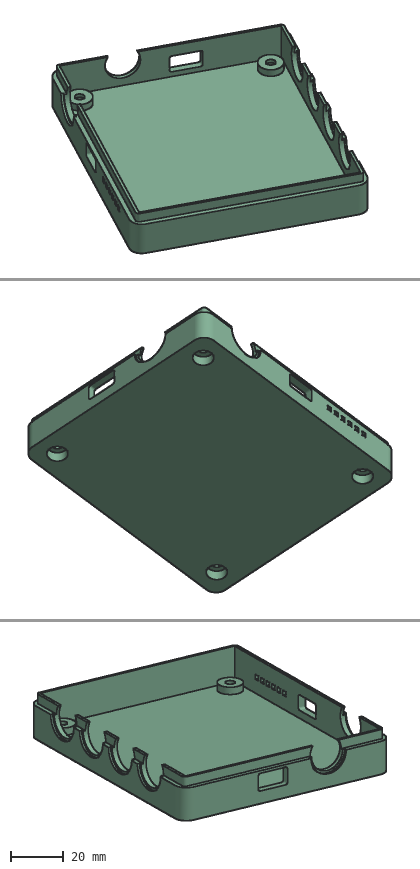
import cadquery as cq

length = 106.4
width = 94.4
height = 17.3
body_height = 13.5
corner_radius = 5.0
floor_thickness = 3.0

lip_inset = 2.0
lip_corner_radius = 1.5
end_wall = 3.0
side_wall = 3.3

boss_diameter = 10.0
boss_height = 3.0
screw_hole_diameter = 3.7
screw_head_diameter = 8.0
screw_seat_thickness = 1.5
boss_spacing_x = 88.0
boss_spacing_y = 75.8

notch_diameter = 14.0
recess_diameter = 16.0
recess_depth = 1.0
notch_z = body_height
notch_pitch = 20.0
back_notch_count = 4
left_notch_y = -18.8

window_corner_radius = 1.0
front_window_length = 12.2
front_window_height = 6.3
front_window_z = 9.4
left_window_length = 13.2
left_window_height = 7.2
left_window_y = 6.3
left_window_z = 8.8

light_count = 6
light_size = 1.9
light_pitch = 3.8
first_light_x = 15.7
light_z = 9.6

clearance = 1.1

front_face = cq.Plane(origin=(0, -width / 2, 0), xDir=(1, 0, 0), normal=(0, 1, 0))
back_face = cq.Plane(origin=(0, width / 2, 0), xDir=(1, 0, 0), normal=(0, -1, 0))
left_face = cq.Plane(origin=(-length / 2, 0, 0), xDir=(0, 1, 0), normal=(1, 0, 0))


def wall_point(distance, z, plane):
    """Sketch point at height z, whichever way the wall plane's own y axis points."""
    return (distance, z * plane.yDir.z)


def make_tray():
    body = cq.Workplane("XY").box(length, width, body_height, centered=(True, True, False))
    body = body.edges("|Z").fillet(corner_radius)
    lip = cq.Workplane("XY").box(
        length - 2 * lip_inset, width - 2 * lip_inset, height, centered=(True, True, False)
    )
    lip = lip.edges("|Z").fillet(lip_corner_radius)
    cavity = cq.Workplane("XY", origin=(0, 0, floor_thickness)).box(
        length - 2 * end_wall, width - 2 * side_wall, height, centered=(True, True, False)
    )
    return body.union(lip).cut(cavity)


def boss_cylinders(diameter, cylinder_height):
    """One upright cylinder from the underside at each boss position."""
    return (
        cq.Workplane("XY")
        .rarray(boss_spacing_x, boss_spacing_y, 2, 2)
        .circle(diameter / 2)
        .extrude(cylinder_height)
    )


def add_bosses(tray):
    boss_top = floor_thickness + boss_height
    bosses = boss_cylinders(boss_diameter, boss_top)
    screw_holes = boss_cylinders(screw_hole_diameter, boss_top)
    head_recesses = boss_cylinders(screw_head_diameter, boss_top - screw_seat_thickness)
    return tray.union(bosses).cut(screw_holes).cut(head_recesses)


def notch(plane, distance):
    center = wall_point(distance, notch_z, plane)
    hole = cq.Workplane(plane).moveTo(*center).circle(notch_diameter / 2).extrude(side_wall + clearance)
    recess = cq.Workplane(plane).moveTo(*center).circle(recess_diameter / 2).extrude(recess_depth)
    return hole.union(recess)


def opening(plane, distance, z, opening_length, opening_height):
    center = wall_point(distance, z, plane)
    return (
        cq.Workplane(plane)
        .moveTo(*center)
        .rect(opening_length, opening_height)
        .extrude(side_wall + clearance)
    )


def window(plane, distance, z, window_length, window_height):
    block = opening(plane, distance, z, window_length, window_height)
    return block.edges(cq.selectors.ParallelDirSelector(plane.zDir)).fillet(window_corner_radius)


result = add_bosses(make_tray())

first_notch_x = -notch_pitch * (back_notch_count - 1) / 2
for index in range(back_notch_count):
    result = result.cut(notch(back_face, first_notch_x + index * notch_pitch))
result = result.cut(notch(front_face, first_notch_x))
result = result.cut(notch(left_face, left_notch_y))

result = result.cut(window(front_face, 0, front_window_z, front_window_length, front_window_height))
result = result.cut(
    window(left_face, left_window_y, left_window_z, left_window_length, left_window_height)
)

for index in range(light_count):
    light_x = first_light_x + index * light_pitch
    result = result.cut(opening(front_face, light_x, light_z, light_size, light_size))